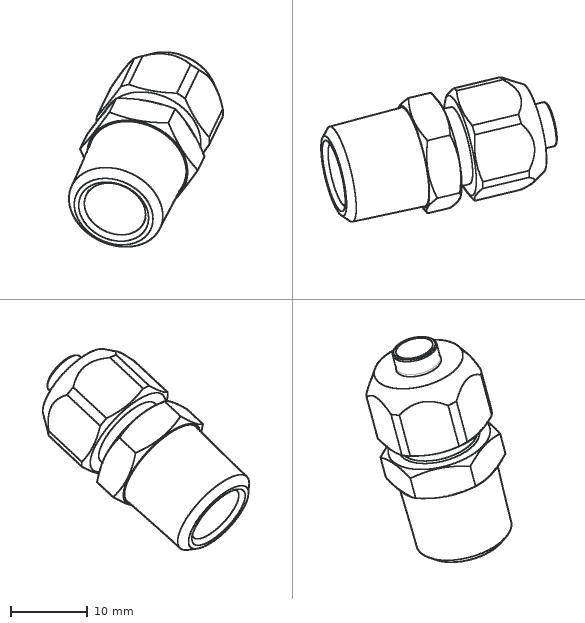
import cadquery as cq
import math

body_hex_start = 10.98
body_hex_end = 15.48
nut_start = 17.52
nut_end = 27.5
tube_end = 30.0

across_flats = 14.0
across_corners = across_flats / math.cos(math.radians(30))
body_hex_face_radius = 6.9
nut_corner_radius = 7.75
nut_inner_face_radius = 6.75
nut_outer_face_radius = 6.0
shallow_chamfer_slope = math.tan(math.radians(30))
steep_chamfer_slope = math.tan(math.radians(60))

thread_tip_radius = 5.4
thread_start_radius = 6.45
thread_end_radius = 6.7
thread_chamfer_length = 1.0

neck_radius = 5.22
neck_flare_radius = 5.45
neck_flare_length = 0.25
tube_radius = 3.0
tube_rim_chamfer = 0.18
tube_flare_radius = 3.05
tube_flare_length = 0.33

small_bore_radius = 2.5
large_bore_radius = 4.2
bore_mouth_radius = 4.8
bore_mouth_depth = bore_mouth_radius - large_bore_radius
large_bore_end = 12.0
bore_cone_length = (large_bore_radius - small_bore_radius) * shallow_chamfer_slope


def revolve_profile(points):
    """Revolve a closed (radius, y) outline about the Y axis."""
    return cq.Workplane("XY").polyline(points).close().revolve(360, (0, 0, 0), (0, 1, 0))


def hexagon(start, end):
    """Hexagonal prism along Y with two corners on the X axis."""
    plane = cq.Plane(origin=(0, start, 0), xDir=(1, 0, 0), normal=(0, 1, 0))
    return cq.Workplane(plane).polygon(6, across_corners).extrude(end - start)


def chamfered_hexagon(start, end, rim_radius, start_radius, start_slope, end_radius, end_slope):
    """Hexagon trimmed by a cone at each end and by a cylinder at its corners."""
    envelope = revolve_profile([
        (0, start),
        (start_radius, start),
        (rim_radius, start + (rim_radius - start_radius) * start_slope),
        (rim_radius, end - (rim_radius - end_radius) * end_slope),
        (end_radius, end),
        (0, end),
    ])
    return hexagon(start, end).intersect(envelope)


core = revolve_profile([
    (0, 0),
    (thread_tip_radius, 0),
    (thread_start_radius, thread_chamfer_length),
    (thread_end_radius, body_hex_start),
    (thread_end_radius, body_hex_end),
    (neck_flare_radius, body_hex_end),
    (neck_radius, body_hex_end + neck_flare_length),
    (neck_radius, nut_start),
    (tube_flare_radius, nut_start),
    (tube_flare_radius, nut_end),
    (tube_radius, nut_end + tube_flare_length),
    (tube_radius, tube_end - tube_rim_chamfer),
    (tube_radius - tube_rim_chamfer, tube_end),
    (0, tube_end),
])

body_hex = chamfered_hexagon(
    body_hex_start, body_hex_end, across_corners / 2,
    body_hex_face_radius, shallow_chamfer_slope,
    body_hex_face_radius, shallow_chamfer_slope,
)

nut = chamfered_hexagon(
    nut_start, nut_end, nut_corner_radius,
    nut_inner_face_radius, shallow_chamfer_slope,
    nut_outer_face_radius, steep_chamfer_slope,
)

bore = revolve_profile([
    (0, 0),
    (bore_mouth_radius, 0),
    (large_bore_radius, bore_mouth_depth),
    (large_bore_radius, large_bore_end),
    (small_bore_radius, large_bore_end + bore_cone_length),
    (small_bore_radius, tube_end),
    (0, tube_end),
])

result = core.union(body_hex).union(nut).cut(bore)